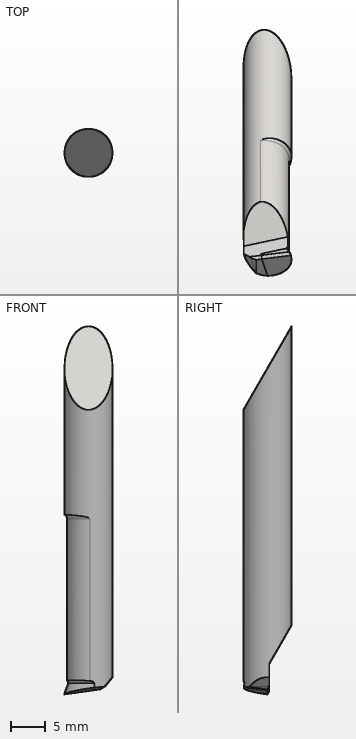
import cadquery as cq
import math

length = 53.3
diameter = 7.0
radius = diameter / 2
margin = 2.65
rake_y = 0.25
bevel_angle = 30
lower_bevel_start = 10.0

neck_offset = 0.35
neck_top = 26.1
step_fillet = 0.7
undercut_x = 0.55
undercut_y = 0.1

tip_top = 1.6
tip_right = 0.85
flare_base = 0.2
end_slope_x = 0.14
end_slope_y = 0.12
lip_height = 0.6
corner_top = 2.5
corner_mid_x = 2.4
corner_mid_z = 1.15
corner_base_x = 1.7

reach = radius + margin


def eccentric_ring(x, y, bottom, top):
    """Ring around an offset axis, with its inner upper edge rounded."""
    straight_top = top - step_fillet
    profile = cq.Workplane("XZ").moveTo(reach, bottom).lineTo(radius, bottom)
    if straight_top > bottom:
        profile = profile.lineTo(radius, straight_top)
    profile = profile.radiusArc((radius + step_fillet, top), step_fillet).lineTo(reach, top).close()
    return profile.revolve(360, (0, 0), (0, 1)).translate((x, y, 0))


def side_prism(points):
    """Prism with a YZ outline, reaching across the bar along X."""
    return cq.Workplane("YZ").polyline(points).close().extrude(reach, both=True)


def make_bar():
    """Round bar with a bevelled top and a flat, bevelled lower +Y side."""
    bar = cq.Workplane("XY").circle(radius).extrude(length)
    bevel_rise = diameter / math.tan(math.radians(bevel_angle))
    extra_rise = margin / math.tan(math.radians(bevel_angle))
    top_bevel = side_prism([
        (radius + margin, length + extra_rise),
        (-radius - margin, length - bevel_rise - extra_rise),
        (-radius - margin, length + extra_rise),
    ])
    flat_top = lower_bevel_start - (radius - rake_y) / math.tan(math.radians(bevel_angle))
    flat_side = side_prism([
        (rake_y, -margin),
        (rake_y, flat_top),
        (reach, lower_bevel_start + extra_rise),
        (reach, -margin),
    ])
    return bar.cut(top_bevel).cut(flat_side)


def flare_cutter():
    """Block around a leaning cylinder that forms the tip clearance."""
    lean_height = tip_top - flare_base
    lean_x = undercut_x / lean_height
    lean_y = undercut_y / lean_height
    start = -margin
    base = (
        cq.Workplane("XY", origin=(0, 0, start))
        .center(lean_x * (start - flare_base), lean_y * (start - flare_base))
        .circle(radius)
    )
    rise = tip_top - start
    lean = cq.Vector(lean_x * rise, lean_y * rise, rise)
    core = cq.Solid.extrudeLinear(base.wires().val(), [], lean)
    block = cq.Workplane("XY", origin=(0, 0, flare_base)).rect(2 * reach, 2 * reach)
    return block.extrude(lean_height).cut(cq.Workplane(core))


def end_cutter():
    """Space under the sloping end face, including the cutting-edge chamfer."""
    left = -radius - margin
    edge_z = -end_slope_x * margin
    outline = cq.Wire.makePolygon([
        cq.Vector(left, 0, edge_z),
        cq.Vector(left, -reach, edge_z + end_slope_y * reach),
        cq.Vector(left, -reach, -reach),
        cq.Vector(left, rake_y, -reach),
        cq.Vector(left, rake_y, edge_z + lip_height),
    ], close=True)
    span = 2 * reach
    slope = cq.Vector(span, 0, end_slope_x * span)
    return cq.Workplane(cq.Solid.extrudeLinear(outline, [], slope))


def corner_cutter():
    """Clearance corner at the +X side of the end."""
    return (
        cq.Workplane("XZ")
        .polyline([
            (corner_base_x, (corner_base_x + radius) * end_slope_x),
            (corner_mid_x, corner_mid_z),
            (radius, corner_top),
            (reach, corner_top),
            (reach, -margin),
            (corner_base_x, -margin),
        ])
        .close()
        .extrude(reach, both=True)
    )


form = make_bar()
form = form.cut(eccentric_ring(neck_offset, 0, tip_top, neck_top))
form = form.cut(eccentric_ring(undercut_x, undercut_y, tip_top, tip_top + step_fillet))
form = form.cut(flare_cutter()).cut(end_cutter()).cut(corner_cutter())

tip_space = cq.Workplane("XY").box(
    reach + tip_right, 2 * reach, tip_top + margin, centered=False
).translate((-reach, -reach, -margin))
tip = form.intersect(tip_space)
shank = form.cut(tip_space)

result = cq.Compound.makeCompound([shank.val(), tip.val()])